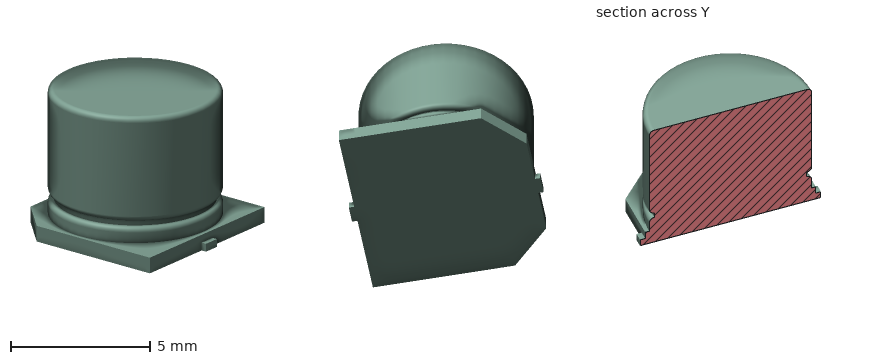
import cadquery as cq

overall_length = 7.0
overall_height = 5.41

base_side = 6.6
base_height = 0.6
corner_cut = 1.4

terminal_width = 0.63
terminal_height = 0.3

can_radius = 3.15
edge_radius = 0.2
groove_bottom = 1.205
groove_height = 0.2
groove_radius = can_radius - edge_radius
groove_top = groove_bottom + groove_height


def make_base():
    plate = cq.Workplane("XY").box(base_side, base_side, base_height, centered=(True, True, False))
    return plate.edges("|Z and <X").chamfer(corner_cut)


def make_terminals():
    return cq.Workplane("XY").box(
        overall_length, terminal_width, terminal_height, centered=(True, True, False)
    )


def make_cylinder(radius, bottom, top):
    return cq.Workplane("XY").workplane(offset=bottom).circle(radius).extrude(top - bottom)


def make_can():
    foot = make_cylinder(can_radius, base_height, groove_bottom).faces(">Z").edges().fillet(edge_radius)
    neck = make_cylinder(groove_radius, base_height, groove_top + edge_radius)
    body = make_cylinder(can_radius, groove_top, overall_height).edges("%CIRCLE").fillet(edge_radius)
    return foot.union(neck).union(body)


result = make_base().union(make_terminals()).union(make_can())